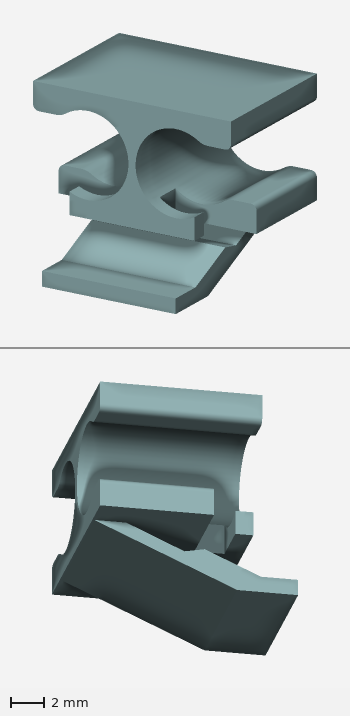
import cadquery as cq
import math

body_width = 13.97
body_depth = 10.0
body_height = 8.13
mid_height = body_height / 2

channel_radius = 2.86
web_thickness = 0.5
mouth_height = 4.39
lip_radius = 0.4
blend_radius = 1.2
channel_x = web_thickness / 2 + channel_radius
mouth_half = mouth_height / 2

tab_half_width = 4.41
tab_depth = 1.12
slot_back = 2.98
slot_half_width = channel_x - math.sqrt(channel_radius**2 - mouth_half**2)

lever_width = 9.45
lever_drop = 3.81
lever_reach = 2.7
lever_tip_thickness = 1.0
lever_root_inset = 0.11
lever_root_length = 1.98
lever_bend_y = 1.06
lever_tip_y = -0.4
lever_crest = (3.07, -1.31)
lever_valley = (4.32, -1.56)


def blend_points():
    """Start, middle and end of the arc from mouth to channel, relative to the channel centre."""
    center_distance = channel_radius + blend_radius
    center_z = mouth_half + blend_radius
    center_x = math.sqrt(center_distance**2 - center_z**2)
    end_angle = math.atan2(-center_z, -center_x)
    middle_angle = (end_angle - math.pi / 2) / 2
    start = (center_x, mouth_half)
    middle = (
        center_x + blend_radius * math.cos(middle_angle),
        center_z + blend_radius * math.sin(middle_angle),
    )
    end = (
        center_x + blend_radius * math.cos(end_angle),
        center_z + blend_radius * math.sin(end_angle),
    )
    return start, middle, end


def make_channel():
    """Channel on the +X side, cut through the full depth, with rounded mouth lips."""
    outer_x = body_width / 2
    lip_shift = lip_radius * (1 - math.sqrt(0.5))
    lip_start_x = outer_x - lip_radius

    def upper(point):
        return (channel_x + point[0], mid_height + point[1])

    def lower(point):
        return (channel_x + point[0], mid_height - point[1])

    blend = blend_points()
    top_start, top_middle, top_end = map(upper, blend)
    low_start, low_middle, low_end = map(lower, blend)
    mouth_top = mid_height + mouth_half
    mouth_bottom = mid_height - mouth_half
    return (
        cq.Workplane("XZ")
        .moveTo(outer_x, mouth_top + lip_radius)
        .threePointArc((outer_x - lip_shift, mouth_top + lip_shift), (lip_start_x, mouth_top))
        .lineTo(*top_start)
        .threePointArc(top_middle, top_end)
        .threePointArc((channel_x - channel_radius, mid_height), low_end)
        .threePointArc(low_middle, low_start)
        .lineTo(lip_start_x, mouth_bottom)
        .threePointArc((outer_x - lip_shift, mouth_bottom - lip_shift), (outer_x, mouth_bottom - lip_radius))
        .close()
        .extrude(-body_depth)
    )


def make_jaw_relief(inner_x, front_y, back_y):
    """Block that removes the +X lower jaw outside inner_x between two depths."""
    return cq.Workplane("XY").box(
        body_width / 2 - inner_x, back_y - front_y, mid_height, centered=False
    ).translate((inner_x, front_y, 0))


def make_lever():
    root_y = body_depth - lever_root_inset
    return (
        cq.Workplane("YZ")
        .polyline([
            (root_y, 0),
            (lever_bend_y, -lever_drop),
            (-lever_reach, -lever_drop),
            (-lever_reach, lever_tip_thickness - lever_drop),
            (lever_tip_y, lever_tip_thickness - lever_drop),
            lever_crest,
            lever_valley,
            (root_y - lever_root_length, 0),
        ])
        .close()
        .extrude(lever_width / 2, both=True)
    )


body = cq.Workplane("XY").box(body_width, body_depth, body_height, centered=(True, False, False))
side_cuts = [
    make_channel(),
    make_jaw_relief(tab_half_width, 0, tab_depth),
    make_jaw_relief(slot_half_width, tab_depth, slot_back),
]
for cut in side_cuts:
    body = body.cut(cut).cut(cut.mirror("YZ"))

result = body.union(make_lever())